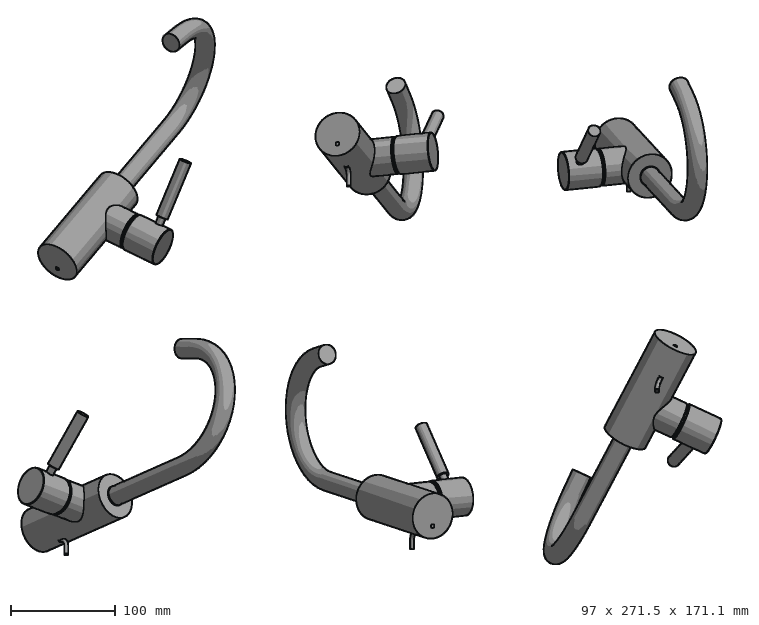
import cadquery as cq
import math

barrel_radius = 22.0
barrel_length = 108.0
branch_radius = 18.0
branch_y = 70.0
branch_end_x = 38.5
edge_chamfer = 0.5

groove_width = 2.0
neck_radius = 16.3
cap_radius = 18.5
cap_start_x = branch_end_x + groove_width
cap_end_x = 75.0

lever_x = 62.2
lever_angle = 45
grip_radius = 6.0
grip_start = 25.8
lever_reach = 84.2
stem_radius = 3.8
stem_depth = 5.5
stem_start = cap_radius - stem_depth

collar_thickness = 1.0
collar_radius = 9.8
spout_radius = 9.5
overall_length = 271.5
bend_radius = 60.0
bend_y = overall_length - spout_radius - bend_radius
bend_sweep = 162
outlet_length = 20.0
spout_start_y = barrel_length + collar_thickness

rod_radius = 2.04
rod_y = 39.5
rod_bend_radius = 8.7
rod_bend_z = -29.5
rod_bottom_z = -38.8
rod_chamfer = 0.5

indicator_radius = 2.0
indicator_depth = 1.4
indicator_z = -9.8


def cylinder_y(radius, start_y, end_y, z=0):
    """Cylinder parallel to Y, centred on X = 0."""
    return cq.Workplane("XZ", origin=(0, start_y, z)).circle(radius).extrude(start_y - end_y)


def cylinder_x(radius, start_x, end_x):
    """Cylinder along the axis of the side branch."""
    return cq.Workplane("YZ", origin=(start_x, branch_y, 0)).circle(radius).extrude(end_x - start_x)


def make_indicator():
    return cylinder_y(indicator_radius, 0, indicator_depth, indicator_z)


def make_pull_rod():
    middle = rod_bend_radius * math.sqrt(0.5)
    bend_center_y = rod_y - rod_bend_radius
    path = (
        cq.Workplane("YZ")
        .moveTo(rod_y, rod_bottom_z)
        .lineTo(rod_y, rod_bend_z)
        .threePointArc(
            (bend_center_y + middle, rod_bend_z + middle),
            (bend_center_y, rod_bend_z + rod_bend_radius),
        )
    )
    rod = cq.Workplane("XY", origin=(0, rod_y, rod_bottom_z)).circle(rod_radius).sweep(path)
    return rod.faces("<Z").chamfer(rod_chamfer)


def make_housing(indicator, pull_rod):
    barrel = cylinder_y(barrel_radius, 0, barrel_length)
    branch = cylinder_x(branch_radius, 0, branch_end_x).faces(">X").chamfer(edge_chamfer)
    return barrel.union(branch).cut(indicator).cut(pull_rod)


def make_collar():
    return cylinder_y(collar_radius, barrel_length, spout_start_y)


def make_spout():
    def bend_point(angle):
        turn = math.radians(angle)
        return (bend_y + bend_radius * math.sin(turn), bend_radius * (1 - math.cos(turn)))

    bend_end_y, bend_end_z = bend_point(bend_sweep)
    outlet_turn = math.radians(bend_sweep)
    path = (
        cq.Workplane("YZ")
        .moveTo(spout_start_y, 0)
        .lineTo(bend_y, 0)
        .threePointArc(bend_point(bend_sweep / 2), (bend_end_y, bend_end_z))
        .lineTo(
            bend_end_y + outlet_length * math.cos(outlet_turn),
            bend_end_z + outlet_length * math.sin(outlet_turn),
        )
    )
    return cq.Workplane("XZ", origin=(0, spout_start_y, 0)).circle(spout_radius).sweep(path)


def make_neck_ring():
    return cylinder_x(neck_radius, branch_end_x, cap_start_x)


def make_lever():
    direction = (0, math.cos(math.radians(lever_angle)), math.sin(math.radians(lever_angle)))
    base = cq.Plane(origin=(lever_x, branch_y, 0), xDir=(1, 0, 0), normal=direction)
    stem = cq.Workplane(base).workplane(offset=stem_start).circle(stem_radius).extrude(grip_start - stem_start)
    grip = cq.Workplane(base).workplane(offset=grip_start).circle(grip_radius).extrude(lever_reach - grip_start)
    return stem.union(grip)


def make_cap(lever):
    cap = cylinder_x(cap_radius, cap_start_x, cap_end_x).faces("|X").chamfer(edge_chamfer)
    return cap.cut(lever)


indicator = make_indicator()
pull_rod = make_pull_rod()
housing = make_housing(indicator, pull_rod)
collar = make_collar()
spout = make_spout()
neck_ring = make_neck_ring()
lever = make_lever()
cap = make_cap(lever)

result = cq.Compound.makeCompound([
    housing.val(),
    indicator.val(),
    pull_rod.val(),
    collar.val(),
    spout.val(),
    neck_ring.val(),
    cap.val(),
    lever.val(),
])